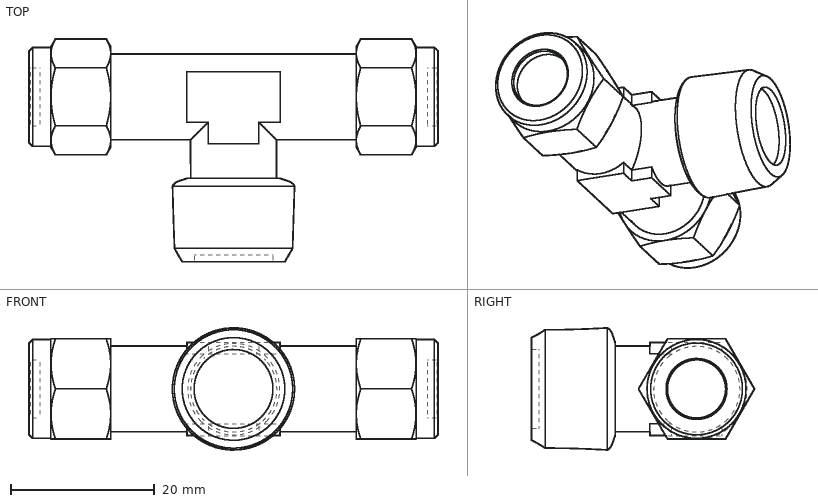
import cadquery as cq
import math

run_half_length = 28.5
branch_length = 23.0
tube_radius = 6.0

block_size = 13.0
block_arm = 7.0

hex_sides = 6
across_flats = 14.0
hex_length = 8.4
hex_chamfer_angle = 30.0
hex_inner_face_radius = across_flats / 2
collar_radius = 6.9
collar_length = 3.0
collar_chamfer = 0.5
nut_bore_radius = 4.05
nut_bore_depth = 1.5
nut_bore_chamfer = 0.2

thread_length = 11.7
thread_back_radius = 6.4
shoulder_cone_radius = 7.65
thread_major_radius = 8.525
shoulder_cone_length = 0.42
shoulder_length = 1.12
shoulder_bulge = 0.1
thread_taper = 1 / 16
tip_chamfer_length = 1.9
tip_chamfer_angle = 30.0
thread_bore_radius = 5.5
thread_bore_depth = 1.0


def make_body():
    """Run and branch cylinders joined by the T-shaped block."""
    inner_half = run_half_length - collar_length
    run = cq.Workplane("YZ").circle(tube_radius).extrude(inner_half, both=True)
    branch = cq.Workplane("XZ").circle(tube_radius).extrude(branch_length - thread_length / 2)
    bar = cq.Workplane("XY").box(block_size, block_arm, block_size)
    stem_length = block_size / 2
    stem = cq.Workplane("XY").box(block_arm, stem_length, block_size)
    stem = stem.translate((0, -stem_length / 2, 0))
    return run.union(branch).union(bar).union(stem)


def make_nut():
    """Hexagonal nut with collar at the +X end, corners pointing along Y."""
    hex_outer = run_half_length - collar_length
    hex_inner = hex_outer - hex_length
    corner_radius = across_flats / 2 / math.cos(math.pi / hex_sides)
    slope = math.tan(math.radians(hex_chamfer_angle))
    inner_chamfer = (corner_radius - hex_inner_face_radius) * slope
    outer_chamfer = (corner_radius - collar_radius) * slope

    hexagon = cq.Workplane("YZ").workplane(offset=hex_inner)
    hexagon = hexagon.polygon(hex_sides, 2 * corner_radius).extrude(hex_length)
    envelope = (
        cq.Workplane("XY")
        .moveTo(hex_inner, 0)
        .lineTo(hex_inner, hex_inner_face_radius)
        .lineTo(hex_inner + inner_chamfer, corner_radius)
        .lineTo(hex_outer - outer_chamfer, corner_radius)
        .lineTo(hex_outer, collar_radius)
        .lineTo(hex_outer, 0)
        .close()
        .revolve(360, (0, 0, 0), (1, 0, 0))
    )
    collar = (
        cq.Workplane("XY")
        .moveTo(hex_inner, 0)
        .lineTo(hex_inner, tube_radius)
        .lineTo(hex_outer, tube_radius)
        .lineTo(hex_outer, collar_radius)
        .lineTo(run_half_length - collar_chamfer, collar_radius)
        .lineTo(run_half_length, collar_radius - collar_chamfer)
        .lineTo(run_half_length, 0)
        .close()
        .revolve(360, (0, 0, 0), (1, 0, 0))
    )
    return hexagon.intersect(envelope).union(collar)


def make_nut_bore():
    """Shallow tube socket in the +X end face, with a bevelled mouth."""
    floor = run_half_length - nut_bore_depth
    mouth_radius = nut_bore_radius + nut_bore_chamfer
    return (
        cq.Workplane("XY")
        .moveTo(floor, 0)
        .lineTo(floor, nut_bore_radius)
        .lineTo(run_half_length - nut_bore_chamfer, nut_bore_radius)
        .lineTo(run_half_length, mouth_radius)
        .lineTo(run_half_length, 0)
        .close()
        .revolve(360, (0, 0, 0), (1, 0, 0))
    )


def make_threaded_end():
    """Tapered thread envelope on the branch, with rear shoulder, tip chamfer and bore."""
    back = branch_length - thread_length
    shoulder_end = back + shoulder_length
    chamfer_start = branch_length - tip_chamfer_length
    small_radius = thread_major_radius - (chamfer_start - shoulder_end) * thread_taper / 2
    tip_radius = small_radius - tip_chamfer_length * math.tan(math.radians(tip_chamfer_angle))
    bore_floor = branch_length - thread_bore_depth
    return (
        cq.Workplane("XY")
        .moveTo(0, -back)
        .lineTo(thread_back_radius, -back)
        .lineTo(shoulder_cone_radius, -back - shoulder_cone_length)
        .sagittaArc((thread_major_radius, -shoulder_end), shoulder_bulge)
        .lineTo(small_radius, -chamfer_start)
        .lineTo(tip_radius, -branch_length)
        .lineTo(thread_bore_radius, -branch_length)
        .lineTo(thread_bore_radius, -bore_floor)
        .lineTo(0, -bore_floor)
        .close()
        .revolve(360, (0, 0, 0), (0, 1, 0))
    )


result = make_body().union(make_threaded_end())
for turn in (0, 180):
    nut = make_nut().rotate((0, 0, 0), (0, 0, 1), turn)
    bore = make_nut_bore().rotate((0, 0, 0), (0, 0, 1), turn)
    result = result.union(nut).cut(bore)